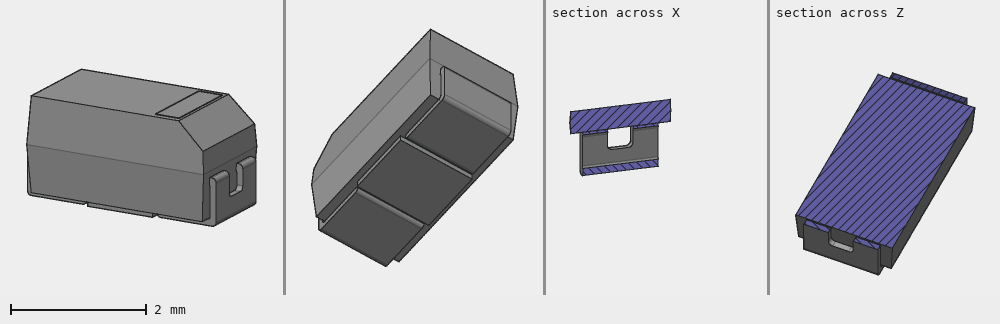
import cadquery as cq
import math

HOUSING_LENGTH = 3.0
HOUSING_WIDTH = 1.6
HOUSING_BOTTOM = 0.1
HOUSING_TOP = 1.6
DRAFT_INSET = 0.05
PARTING_Z = (HOUSING_BOTTOM + HOUSING_TOP) / 2
HALF_HEIGHT = HOUSING_TOP - PARTING_Z

BEVEL_START_X = 1.05
BEVEL_DROP = 0.4

STANDOFF_LENGTH = 1.1
STANDOFF_WIDTH = 1.3

MARK_START_X = 0.6
MARK_LENGTH = 0.4
MARK_WIDTH = STANDOFF_WIDTH
MARK_THICKNESS = 0.01

LEAD_REACH = 1.6
LEAD_WIDTH = 1.2
LEAD_THICKNESS = HOUSING_BOTTOM
LEAD_TOP = 0.75
FOOT_TIP_X = 0.6
OUTER_BEND = 0.07
INNER_BEND = 0.05
TIP_RADIUS = OUTER_BEND
TIP_Z = LEAD_THICKNESS / 2
TIP_LENGTH = math.sqrt(TIP_RADIUS**2 - (TIP_RADIUS - TIP_Z) ** 2)
LEAD_INNER_X = LEAD_REACH - LEAD_THICKNESS
RETURN_BOTTOM = LEAD_TOP - LEAD_THICKNESS

SLOT_WIDTH = 0.4
SLOT_DEPTH = 0.4
SLOT_CORNER = 0.07


def wall_x(z):
    """X of the drafted +X end wall at height z."""
    return HOUSING_LENGTH / 2 - DRAFT_INSET * abs(z - PARTING_Z) / HALF_HEIGHT


def make_drafted_half(end_z):
    """Half of the housing, narrowing from the parting plane to end_z."""
    return (
        cq.Workplane("XY", origin=(0, 0, PARTING_Z))
        .rect(HOUSING_LENGTH, HOUSING_WIDTH)
        .workplane(offset=end_z - PARTING_Z)
        .rect(HOUSING_LENGTH - 2 * DRAFT_INSET, HOUSING_WIDTH - 2 * DRAFT_INSET)
        .loft(ruled=True)
    )


def make_housing():
    bevel_end_z = HOUSING_TOP - BEVEL_DROP
    bevel_end_x = wall_x(bevel_end_z)
    slope = BEVEL_DROP / (bevel_end_x - BEVEL_START_X)
    overrun = DRAFT_INSET
    cutter_x = bevel_end_x + overrun
    bevel = (
        cq.Workplane("XZ")
        .moveTo(BEVEL_START_X, HOUSING_TOP)
        .lineTo(cutter_x, HOUSING_TOP)
        .lineTo(cutter_x, bevel_end_z - slope * overrun)
        .close()
        .extrude(HOUSING_WIDTH, both=True)
    )
    standoff = cq.Workplane("XY").rect(STANDOFF_LENGTH, STANDOFF_WIDTH).extrude(HOUSING_BOTTOM)
    lower_half = make_drafted_half(HOUSING_BOTTOM)
    upper_half = make_drafted_half(HOUSING_TOP).cut(bevel)
    return lower_half.union(upper_half).union(standoff)


def make_mark():
    return (
        cq.Workplane("XY", origin=(MARK_START_X, 0, HOUSING_TOP))
        .box(MARK_LENGTH, MARK_WIDTH, MARK_THICKNESS, centered=(False, True, False))
    )


def make_lead(housing):
    """Lead at the +X end; its return stops flush against the sloping end wall."""
    strip = (
        cq.Workplane("XZ")
        .moveTo(FOOT_TIP_X + TIP_LENGTH, 0)
        .lineTo(LEAD_REACH - OUTER_BEND, 0)
        .radiusArc((LEAD_REACH, OUTER_BEND), -OUTER_BEND)
        .lineTo(LEAD_REACH, LEAD_TOP - OUTER_BEND)
        .radiusArc((LEAD_REACH - OUTER_BEND, LEAD_TOP), -OUTER_BEND)
        .lineTo(LEAD_INNER_X - INNER_BEND, LEAD_TOP)
        .lineTo(LEAD_INNER_X - INNER_BEND, RETURN_BOTTOM)
        .radiusArc((LEAD_INNER_X, RETURN_BOTTOM - INNER_BEND), INNER_BEND)
        .lineTo(LEAD_INNER_X, LEAD_THICKNESS + INNER_BEND)
        .radiusArc((LEAD_INNER_X - INNER_BEND, LEAD_THICKNESS), INNER_BEND)
        .lineTo(FOOT_TIP_X + TIP_LENGTH, LEAD_THICKNESS)
        .radiusArc((FOOT_TIP_X, TIP_Z), -TIP_RADIUS)
        .radiusArc((FOOT_TIP_X + TIP_LENGTH, 0), -TIP_RADIUS)
        .close()
        .extrude(LEAD_WIDTH / 2, both=True)
    )
    return strip.cut(housing)


def make_lead_slot():
    """Slot through the upright, with rounded lower corners and an open top."""
    cutter_length = 4 * LEAD_THICKNESS
    return (
        cq.Workplane("XY", origin=(LEAD_REACH, 0, LEAD_TOP - SLOT_DEPTH))
        .rect(cutter_length, SLOT_WIDTH)
        .extrude(SLOT_DEPTH)
        .edges("|X and <Z")
        .fillet(SLOT_CORNER)
    )


housing = make_housing()
mark = make_mark()
plain_lead = make_lead(housing).rotate((0, 0, 0), (0, 0, 1), 180)
slotted_lead = make_lead(housing).cut(make_lead_slot())

result = cq.Compound.makeCompound([
    *housing.solids().vals(),
    *mark.solids().vals(),
    *plain_lead.solids().vals(),
    *slotted_lead.solids().vals(),
])